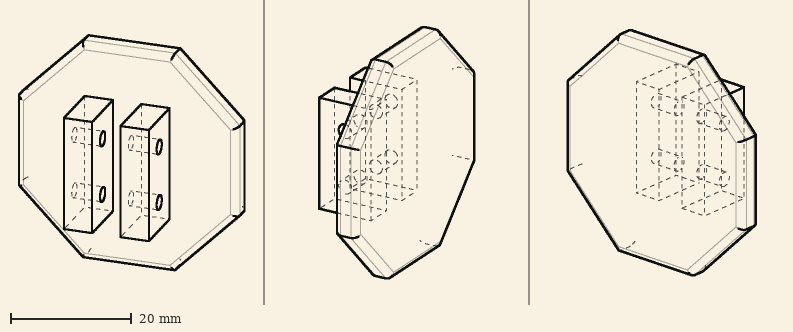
import cadquery as cq

PLATE_CORNER_DIAMETER = 42.2
PLATE_SIDES = 8
PLATE_THICKNESS = 4.4
RIM_RADIUS = 1.2

LUG_WIDTH = 5.0
LUG_GAP = 5.0
LUG_HEIGHT = 20.0
LUG_LENGTH = 10.0

HOLE_DIAMETER = 2.5
HOLE_SPACING = 10.0

lug_offset = (LUG_GAP + LUG_WIDTH) / 2
lug_pair_width = LUG_GAP + 2 * LUG_WIDTH


def make_plate():
    """Regular octagon with flats on X and Z, its front face on Y = 0, both rims rounded."""
    half_sector = 180 / PLATE_SIDES
    plate = (
        cq.Workplane("XY")
        .polygon(PLATE_SIDES, PLATE_CORNER_DIAMETER)
        .extrude(PLATE_THICKNESS)
        .rotate((0, 0, 0), (0, 0, 1), half_sector)
        .faces("<Z or >Z")
        .edges()
        .fillet(RIM_RADIUS)
    )
    return plate.rotate((0, 0, 0), (1, 0, 0), -90)


def make_lugs():
    """Two rectangular lugs reaching from the plate face toward -Y."""
    return (
        cq.Workplane("XZ")
        .pushPoints([(-lug_offset, 0), (lug_offset, 0)])
        .rect(LUG_WIDTH, LUG_HEIGHT)
        .extrude(LUG_LENGTH)
    )


def make_cross_holes():
    """Cylinders along X, centred on the lug length, that pierce both lugs."""
    hole_y = -LUG_LENGTH / 2
    hole_z = HOLE_SPACING / 2
    return (
        cq.Workplane("YZ", origin=(-lug_pair_width / 2, 0, 0))
        .pushPoints([(hole_y, -hole_z), (hole_y, hole_z)])
        .circle(HOLE_DIAMETER / 2)
        .extrude(lug_pair_width)
    )


result = make_plate().union(make_lugs()).cut(make_cross_holes())